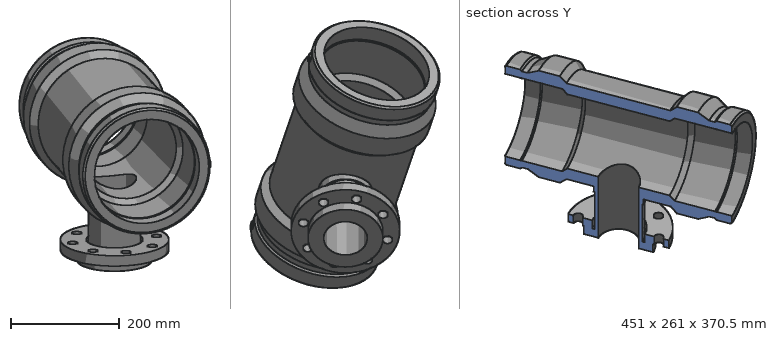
import cadquery as cq
import math

LENGTH = 451.0
PIPE_RADIUS = 234.9 / 2
BORE_RADIUS = 180.0 / 2

SOCKET_BORE_RADIUS = 200.0 / 2
SOCKET_DEPTH = 114.0
SOCKET_CONE_ANGLE = 45.0
GROOVE_START = 30.5
GROOVE_WIDTH = 3.5
GROOVE_DEPTH = 0.5
NECK_RADIUS = 235.45 / 2
COLLAR_RADIUS = 242.73 / 2
COLLAR_LENGTH = 34.5
COLLAR_CHAMFER = COLLAR_RADIUS - NECK_RADIUS
BULGE_RADIUS = 261.0 / 2
BULGE_START = 45.5
BULGE_OUTER_ANGLE = 30.0
BULGE_CREST_END = 109.5
BULGE_INNER_ANGLE = 45.0

STUD_DIAMETER = 15.0
STUD_TIP_Y = 124.5
STUD_POSITION = COLLAR_LENGTH / 2

BRANCH_BOTTOM_Z = -240.0
BRANCH_DIAMETER = 96.0
BRANCH_BORE_DIAMETER = 80.0
SADDLE_DIAMETER = 100.0
SADDLE_BOTTOM_Z = -130.0
STUB_DIAMETER = 138.0
STUB_THICKNESS = 20.0
FLANGE_DIAMETER = 200.0
FLANGE_THICKNESS = 20.0
FLANGE_BORE_DIAMETER = 104.0
BOLT_COUNT = 8
BOLT_DIAMETER = 18.0
BOLT_CIRCLE_RADIUS = 160.0 / 2


def cone_length(radius_change, angle):
    """Axial length of a cone whose side leans by angle degrees from the axis."""
    return radius_change / math.tan(math.radians(angle))


def disc(diameter, bottom_z, top_z):
    """Vertical cylinder on the branch axis."""
    return cq.Workplane("XY").workplane(offset=bottom_z).circle(diameter / 2).extrude(top_z - bottom_z)


def both_ends(half):
    """Join a shape at the -X end with its mirror image at the +X end."""
    return half.union(half.mirror("YZ"))


def revolved_half(profile):
    """Turn (distance from the -X end face, radius) points about the pipe axis."""
    outline = [(position - LENGTH / 2, radius) for position, radius in profile]
    return cq.Workplane("XY").polyline(outline).close().revolve(360, (0, 0, 0), (1, 0, 0))


def pipe_body():
    """Solid outer shape of the pipe and its two sockets."""
    crest_start = BULGE_START + cone_length(BULGE_RADIUS - NECK_RADIUS, BULGE_OUTER_ANGLE)
    bulge_end = BULGE_CREST_END + cone_length(BULGE_RADIUS - PIPE_RADIUS, BULGE_INNER_ANGLE)
    profile = [
        (0, 0),
        (0, NECK_RADIUS),
        (COLLAR_CHAMFER, COLLAR_RADIUS),
        (COLLAR_LENGTH - COLLAR_CHAMFER, COLLAR_RADIUS),
        (COLLAR_LENGTH, NECK_RADIUS),
        (BULGE_START, NECK_RADIUS),
        (crest_start, BULGE_RADIUS),
        (BULGE_CREST_END, BULGE_RADIUS),
        (bulge_end, PIPE_RADIUS),
        (LENGTH / 2, PIPE_RADIUS),
        (LENGTH / 2, 0),
    ]
    return both_ends(revolved_half(profile))


def pipe_bore():
    """Through bore widened by a cone into a shallow-grooved socket at each end."""
    cone_end = SOCKET_DEPTH + cone_length(SOCKET_BORE_RADIUS - BORE_RADIUS, SOCKET_CONE_ANGLE)
    groove_end = GROOVE_START + GROOVE_WIDTH
    groove_radius = SOCKET_BORE_RADIUS + GROOVE_DEPTH
    profile = [
        (0, 0),
        (0, SOCKET_BORE_RADIUS),
        (GROOVE_START, SOCKET_BORE_RADIUS),
        (GROOVE_START, groove_radius),
        (groove_end, groove_radius),
        (groove_end, SOCKET_BORE_RADIUS),
        (SOCKET_DEPTH, SOCKET_BORE_RADIUS),
        (cone_end, BORE_RADIUS),
        (LENGTH / 2, BORE_RADIUS),
        (LENGTH / 2, 0),
    ]
    return both_ends(revolved_half(profile))


def studs():
    """Radial studs rooted in the collar wall."""
    root_y = (SOCKET_BORE_RADIUS + COLLAR_RADIUS) / 2
    plane = cq.Workplane("XZ", origin=(STUD_POSITION - LENGTH / 2, root_y, 0))
    return both_ends(plane.circle(STUD_DIAMETER / 2).extrude(root_y - STUD_TIP_Y))


def flange():
    """Loose flange ring with bolt holes, clear of the branch tube."""
    bottom_z = BRANCH_BOTTOM_Z + STUB_THICKNESS
    top_z = bottom_z + FLANGE_THICKNESS
    ring = disc(FLANGE_DIAMETER, bottom_z, top_z).cut(disc(FLANGE_BORE_DIAMETER, bottom_z, top_z))
    bolts = (
        cq.Workplane("XY", origin=(0, 0, bottom_z))
        .polarArray(BOLT_CIRCLE_RADIUS, 0, 360, BOLT_COUNT)
        .circle(BOLT_DIAMETER / 2)
        .extrude(FLANGE_THICKNESS)
    )
    return ring.cut(bolts)


def branch():
    """Solid branch tube with its saddle sleeve, stub end and flange."""
    tube = disc(BRANCH_DIAMETER, BRANCH_BOTTOM_Z, 0)
    saddle = disc(SADDLE_DIAMETER, SADDLE_BOTTOM_Z, 0)
    stub = disc(STUB_DIAMETER, BRANCH_BOTTOM_Z, BRANCH_BOTTOM_Z + STUB_THICKNESS)
    return tube.union(saddle).union(stub).union(flange())


branch_bore = disc(BRANCH_BORE_DIAMETER, BRANCH_BOTTOM_Z, 0)
result = pipe_body().union(studs()).union(branch()).cut(pipe_bore()).cut(branch_bore)